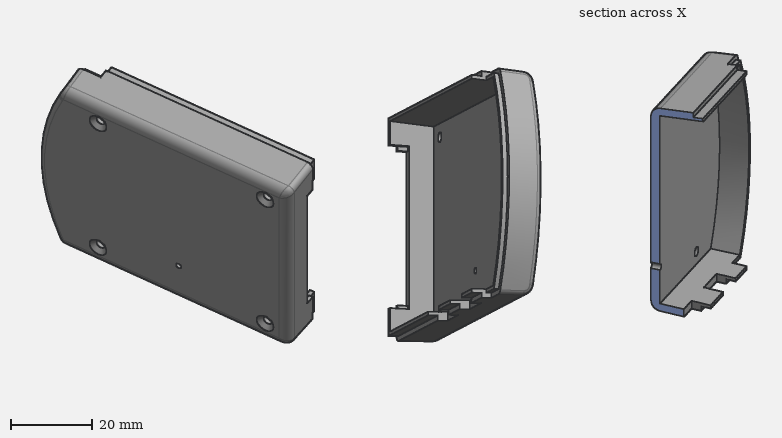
import cadquery as cq
import math

overall_height = 56.97
overall_length = 72.72
lip_top = 13.97
high_rim = 11.43
low_rim = 8.89
low_lip_top = 10.16
bow_radius = 63.5
draft = 3.0

wall = 2.2
flat_wall = 2.4
floor = 2.54
lip_setback = 1.27
flat_lip_setback = 1.1
step_x = 12.7

face_round = 2.7
bow_round = 1.5
flat_corner_round = 1.6

screw_x = (17.5, 66.0)
screw_z = 22.35
screw_diameter = 2.4
screw_head_diameter = 4.9
screw_head_angle = 90
pin_x = 40.9
pin_z = -15.8
pin_diameter = 1.5

flat_opening = 38.8
flat_lip_opening = 41.0
side_openings = ((19.9, 28.0), (36.0, 43.5))

margin = 10.0
half_height = overall_height / 2
flat_x = overall_length
draft_slope = math.tan(math.radians(draft))
bow_x = -(high_rim - low_rim) * draft_slope


def block(x_span, y_span, z_span):
    """Box between two corners."""
    size = [end - start for start, end in (x_span, y_span, z_span)]
    return cq.Workplane("XY").box(*size, centered=False).translate((x_span[0], y_span[0], z_span[0]))


def drafted_prism(inset, end_x, back_y, front_y):
    """Bowed outline set in from the drafted outer wall, narrowing from back_y to front_y."""
    inset_at_back = inset + (high_rim - back_y) * draft_slope
    half = half_height - inset_at_back
    radius = bow_radius - inset_at_back
    apex_x = bow_x + inset_at_back
    corner_x = apex_x + radius - math.sqrt(radius**2 - half**2)
    prism = (
        cq.Workplane("XZ", origin=(0, back_y, 0))
        .moveTo(end_x + margin, half)
        .lineTo(corner_x, half)
        .threePointArc((apex_x, 0), (corner_x, -half))
        .lineTo(end_x + margin, -half)
        .close()
        .extrude(back_y - front_y, taper=draft)
    )
    beyond_end = block((end_x, end_x + 2 * margin), (-margin, lip_top + margin), (-half_height, half_height))
    return prism.cut(beyond_end)


def outer_body():
    """Solid tray up to the high rim, with its outer edges rounded."""
    body = drafted_prism(0, flat_x, high_rim, 0)
    body = body.faces(">X").edges("(not >Y) and (not <Y)").fillet(flat_corner_round)
    long_and_flat_edges = body.faces("<Y").edges("not <X")
    body = long_and_flat_edges.fillet(face_round)
    bow_outline = body.faces("<X").edges("not >Y")
    return bow_outline.fillet(bow_round)


def lip():
    """Solid core that stands above the rim; the cavity later leaves only a thin lip of it."""
    return drafted_prism(lip_setback, flat_x - flat_lip_setback, lip_top, low_rim)


def low_end_cut():
    """Space above the rim and above the lip, over the bowed end."""
    across = (-half_height - margin, half_height + margin)
    end_span = (bow_x - margin, step_x)
    above_rim = block(end_span, (low_rim, lip_top + margin), across)
    above_lip = block(end_span, (low_lip_top, lip_top + margin), across)
    return above_rim.cut(lip()).union(above_lip)


def cavity():
    """Inside of the tray, open at the top and closed by the floor."""
    return drafted_prism(wall, flat_x - flat_wall, lip_top, floor)


def flat_end_cut():
    """Opening in the flat end, wider through the lip and inner layer than through the outer layer."""
    inside_x = flat_x - flat_wall - margin
    y_span = (low_rim, lip_top + margin)
    opening = block((inside_x, flat_x + margin), y_span, (-flat_opening / 2, flat_opening / 2))
    lip_z_span = (-flat_lip_opening / 2, flat_lip_opening / 2)
    lip_opening = block((inside_x, flat_x - flat_lip_setback), y_span, lip_z_span)
    return opening.union(lip_opening)


def side_cut(x_span):
    """Notch from the top of the lip down to the low rim, through the -Z wall."""
    return block(x_span, (low_rim, lip_top + margin), (-half_height - margin, -half_height + 2 * wall))


def drill_floor(body):
    """Four countersunk screw holes and one small pin hole."""
    outer_face = cq.Workplane("XZ")
    screw_points = [(x, z) for x in screw_x for z in (-screw_z, screw_z)]
    body = body.cut(outer_face.pushPoints(screw_points).circle(screw_diameter / 2).extrude(-lip_top))
    head_radius = screw_head_diameter / 2
    head_depth = head_radius / math.tan(math.radians(screw_head_angle / 2))
    head = cq.Solid.makeCone(head_radius, 0, head_depth, dir=cq.Vector(0, 1, 0))
    for x, z in screw_points:
        body = body.cut(cq.Workplane(head.translate(cq.Vector(x, 0, z))))
    return body.cut(outer_face.center(pin_x, pin_z).circle(pin_diameter / 2).extrude(-lip_top))


def build():
    """Rounded tray with lip, hollowed, then opened at the ends and side."""
    body = outer_body().union(lip())
    body = body.cut(low_end_cut()).cut(cavity()).cut(flat_end_cut())
    for x_span in side_openings:
        body = body.cut(side_cut(x_span))
    return drill_floor(body)


result = build()